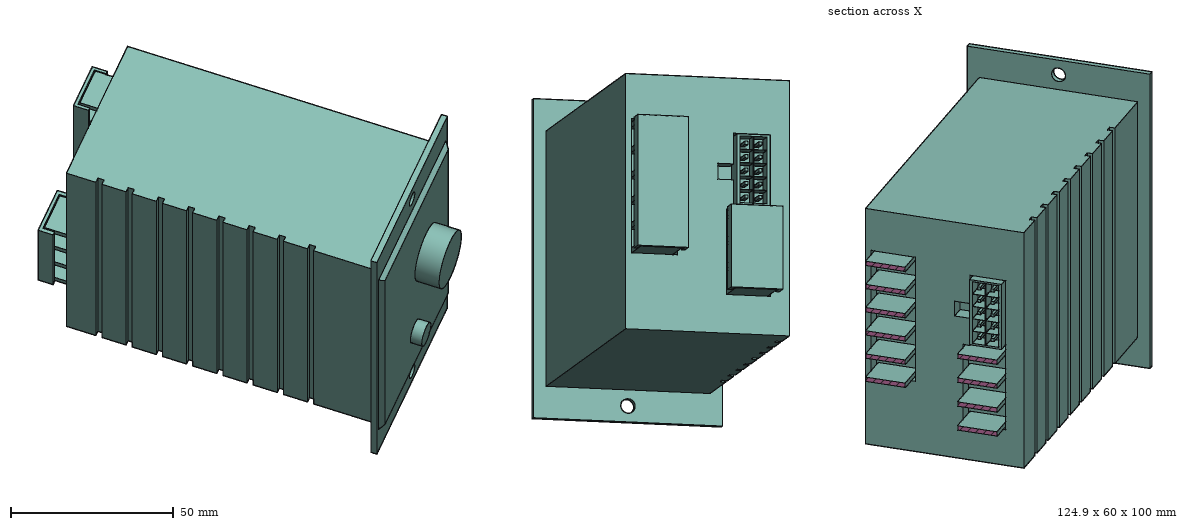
import cadquery as cq

CASE_LENGTH = 102.2
CASE_WIDTH = 52.0
CASE_HEIGHT = 80.0
GROOVE_COUNT = 8
GROOVE_PITCH = 10.0
GROOVE_WIDTH = 2.0
GROOVE_DEPTH = 1.8
FIRST_GROOVE_X = 9.8

PLATE_THICKNESS = 2.0
PLATE_WIDTH = 60.0
PLATE_HEIGHT = 100.0
MOUNTING_HOLE_DIAMETER = 4.5
MOUNTING_HOLE_SPACING = 90.0
PANEL_THICKNESS = 1.5
PANEL_WIDTH = 54.0
PANEL_HEIGHT = 75.0
PANEL_EDGE_ANGLE = 45.0
PLATE_X = CASE_LENGTH
PANEL_X = PLATE_X + PLATE_THICKNESS
PANEL_FACE_X = PANEL_X + PANEL_THICKNESS

KNOB_DIAMETER = 19.0
KNOB_LENGTH = 8.0
KNOB_Y, KNOB_Z = 8.0, 8.0
LAMP_DIAMETER = 7.8
LAMP_LENGTH = 3.8
LAMP_Y, LAMP_Z = -1.5, -21.1

OPENING_DEPTH = 5.0

DIVIDER_THICKNESS = 1.6
DIVIDER_WIDTH = 13.0
DIVIDER_REACH = 9.8
COVER_REACH = 11.2
COVER_LENGTH = 5.0
COVER_WEB = 1.1

LARGE_COUNT = 6
LARGE_PITCH = 7.9
LARGE_TOP = 25.2
LARGE_DIVIDERS_Y = 17.1
LARGE_COVER_Y = 16.9
LARGE_COVER_WIDTH = 16.0
LARGE_COVER_ARM = 1.0
LARGE_OPENING_WIDTH = 14.5

SMALL_COUNT = 4
SMALL_PITCH = 8.1
SMALL_TOP = -1.5
SMALL_Y = -13.0
SMALL_COVER_WIDTH = 16.4
SMALL_COVER_ARM = 1.2
SMALL_OPENING_WIDTH = 14.0

TERMINAL_OPENING_TOP_GAP = 0.8
SMALL_OPENING_TOP_GAP = 0.4
TERMINAL_OPENING_BOTTOM_GAP = 0.4

HEADER_REACH = 2.0
HEADER_Y = -14.1
HEADER_WIDTH = 10.5
HEADER_TOP = 22.2
HEADER_HEIGHT = 22.1
CELL_COLUMNS = 2
CELL_ROWS = 5
CELL_WIDTH = 4.1
CELL_HEIGHT = 4.1
COLUMN_WALL = 0.3
ROW_WALL = 0.08
CELL_PITCH_Y = CELL_WIDTH + COLUMN_WALL
CELL_PITCH_Z = CELL_HEIGHT + ROW_WALL
CELL_DEPTH = 5.0
PIN_SIZE = 1.0
PIN_LENGTH = 4.8
HEADER_OPENING_WIDTH = 11.8
HEADER_OPENING_TOP_GAP = 0.5
LATCH_OPENING_WIDTH = 5.0
LATCH_OPENING_HEIGHT = 5.0
LATCH_Z = 10.6


def block(x_range, y_range, z_range):
    """Box between two values on each axis."""
    (x0, x1), (y0, y1), (z0, z1) = x_range, y_range, z_range
    return cq.Workplane("XY").box(x1 - x0, y1 - y0, z1 - z0, centered=False).translate((x0, y0, z0))


def around(centre, size):
    """Range of the given size about a centre."""
    return (centre - size / 2, centre + size / 2)


def row_height(count, pitch):
    """Height of a row of dividers."""
    return (count - 1) * pitch + DIVIDER_THICKNESS


def make_case():
    case = block((0, CASE_LENGTH), around(0, CASE_WIDTH), around(0, CASE_HEIGHT))
    groove_y = (-CASE_WIDTH / 2, -CASE_WIDTH / 2 + GROOVE_DEPTH)
    for i in range(GROOVE_COUNT):
        groove_x = FIRST_GROOVE_X + i * GROOVE_PITCH
        case = case.cut(block((groove_x, groove_x + GROOVE_WIDTH), groove_y, around(0, CASE_HEIGHT)))
    return case


def make_front():
    """Mounting plate, panel, knob and lamp."""
    plate = block((PLATE_X, PANEL_X), around(0, PLATE_WIDTH), around(0, PLATE_HEIGHT))
    holes = (
        cq.Workplane("YZ", origin=(PLATE_X, 0, 0))
        .rarray(1.2, MOUNTING_HOLE_SPACING, 1, 2)
        .circle(MOUNTING_HOLE_DIAMETER / 2)
        .extrude(PLATE_THICKNESS)
    )
    panel_base = cq.Workplane("YZ", origin=(PANEL_X, 0, 0)).rect(
        PANEL_WIDTH + 2 * PANEL_THICKNESS, PANEL_HEIGHT + 2 * PANEL_THICKNESS
    )
    panel = panel_base.extrude(PANEL_THICKNESS, taper=PANEL_EDGE_ANGLE)
    face = cq.Workplane("YZ", origin=(PANEL_FACE_X, 0, 0))
    knob = face.center(KNOB_Y, KNOB_Z).circle(KNOB_DIAMETER / 2).extrude(KNOB_LENGTH)
    lamp = face.center(LAMP_Y, LAMP_Z).circle(LAMP_DIAMETER / 2).extrude(LAMP_LENGTH)
    return plate.cut(holes).union(panel).union(knob).union(lamp)


def terminal_opening(centre_y, width, top, top_gap, height):
    bottom = top - height - TERMINAL_OPENING_BOTTOM_GAP
    return block((0, OPENING_DEPTH), around(centre_y, width), (bottom, top + top_gap))


def header_opening():
    """Clearance around the header, with a side notch for the latch of its plug."""
    y_range = around(HEADER_Y, HEADER_OPENING_WIDTH)
    opening = block((0, OPENING_DEPTH), y_range, (SMALL_TOP, HEADER_TOP + HEADER_OPENING_TOP_GAP))
    notch_y = (y_range[1], y_range[1] + LATCH_OPENING_WIDTH)
    return opening.union(block((0, OPENING_DEPTH), notch_y, around(LATCH_Z, LATCH_OPENING_HEIGHT)))


def dividers(count, pitch, top, centre_y):
    """Row of horizontal divider plates standing on the floor of an opening."""
    plates = cq.Workplane("XY")
    for i in range(count):
        plate_top = top - i * pitch
        plates = plates.union(
            block(
                (-DIVIDER_REACH, OPENING_DEPTH),
                around(centre_y, DIVIDER_WIDTH),
                (plate_top - DIVIDER_THICKNESS, plate_top),
            )
        )
    return plates


def make_header():
    centre_z = HEADER_TOP - HEADER_HEIGHT / 2
    header = block(
        (-HEADER_REACH, OPENING_DEPTH),
        around(HEADER_Y, HEADER_WIDTH),
        (HEADER_TOP - HEADER_HEIGHT, HEADER_TOP),
    )
    cell_grid = (CELL_PITCH_Y, CELL_PITCH_Z, CELL_COLUMNS, CELL_ROWS)
    mouth = cq.Workplane("YZ", origin=(-HEADER_REACH, HEADER_Y, centre_z))
    cells = mouth.rarray(*cell_grid).rect(CELL_WIDTH, CELL_HEIGHT).extrude(CELL_DEPTH)
    cell_floor = cq.Workplane("YZ", origin=(CELL_DEPTH - HEADER_REACH, HEADER_Y, centre_z))
    pins = cell_floor.rarray(*cell_grid).rect(PIN_SIZE, PIN_SIZE).extrude(-PIN_LENGTH)
    return header.cut(cells).union(pins)


def make_housing():
    large_height = row_height(LARGE_COUNT, LARGE_PITCH)
    small_height = row_height(SMALL_COUNT, SMALL_PITCH)
    return (
        make_case()
        .union(make_front())
        .cut(terminal_opening(LARGE_COVER_Y, LARGE_OPENING_WIDTH, LARGE_TOP, TERMINAL_OPENING_TOP_GAP, large_height))
        .cut(terminal_opening(SMALL_Y, SMALL_OPENING_WIDTH, SMALL_TOP, SMALL_OPENING_TOP_GAP, small_height))
        .cut(header_opening())
        .union(dividers(LARGE_COUNT, LARGE_PITCH, LARGE_TOP, LARGE_DIVIDERS_Y))
        .union(dividers(SMALL_COUNT, SMALL_PITCH, SMALL_TOP, SMALL_Y))
        .union(make_header())
    )


def make_cover(centre_y, width, arm, top, height):
    """Channel with its web at the rear and its two arms pointing to the case."""
    z_range = (top - height, top)
    cover = block((-COVER_REACH, COVER_LENGTH - COVER_REACH), around(centre_y, width), z_range)
    inside = block(
        (COVER_WEB - COVER_REACH, COVER_LENGTH - COVER_REACH),
        around(centre_y, width - 2 * arm),
        z_range,
    )
    return cover.cut(inside)


housing = make_housing()
large_cover = make_cover(
    LARGE_COVER_Y, LARGE_COVER_WIDTH, LARGE_COVER_ARM, LARGE_TOP, row_height(LARGE_COUNT, LARGE_PITCH)
)
small_cover = make_cover(
    SMALL_Y, SMALL_COVER_WIDTH, SMALL_COVER_ARM, SMALL_TOP, row_height(SMALL_COUNT, SMALL_PITCH)
)
result = cq.Compound.makeCompound([housing.val(), large_cover.val(), small_cover.val()])